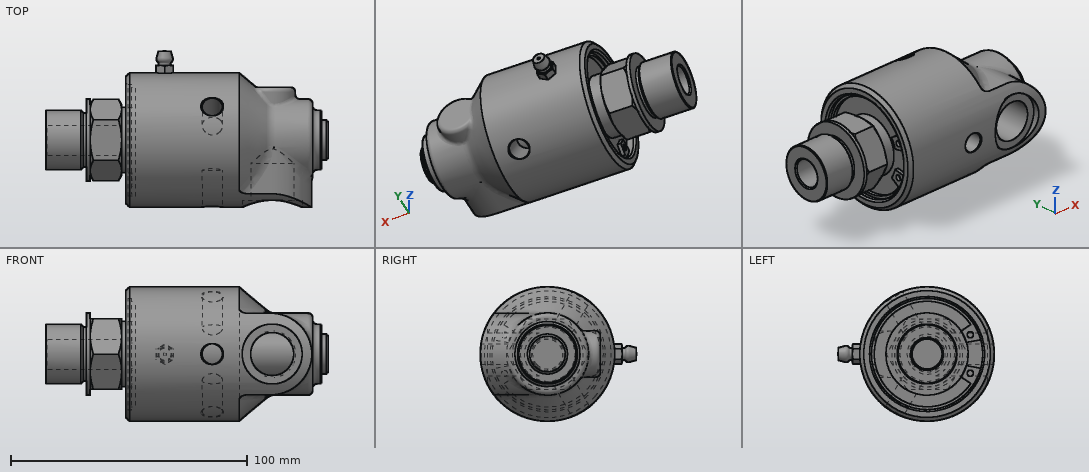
import cadquery as cq
import math

TOTAL_LENGTH = 119.8

SPUD_DIAMETER = 25.4
SPUD_CHAMFER = 0.4
SPUD_END = 15.0
RELIEF_DIAMETER = 23.0
RELIEF_START = 16.0
WASHER_DIAMETER = 34.9
WASHER_START = 17.3
HEX_START = 18.9
HEX_END = 32.2
HEX_ACROSS_FLATS = 30.0
HEX_CHAMFER_LENGTH = 1.3
COLLAR_DIAMETER = 27.8
SPUD_BORE_DIAMETER = 12.7
SPUD_BORE_DEPTH = 32.1
SPUD_BORE_CHAMFER = 0.6

BODY_DIAMETER = 57.0
BODY_START = 33.9
BODY_CHAMFER = 1.7
CONE_START = 82.0
CONE_ANGLE = 40.0
CONE_FILLET = 5.0
NECK_DIAMETER = 34.9
NECK_END = 113.2
NECK_END_FILLET = 2.2

RECESS_DIAMETER = 47.1
RECESS_CHAMFER = 0.8
RING_OFFSET = 2.4
RING_THICKNESS = 1.7
RING_WIDTH = 1.2
LUG_INNER_RADIUS = 17.1
LUG_HOLE_DIAMETER = 2.6
LUG_HOLE_Y = -18.3
LUG_HOLE_Z = 8.1
LUG_END_ANGLE = 34.0
GAP_APEX_Y = 9.6
GAP_ANGLE = 10.6

PORT_X = 96.0
ARM_END_X = 95.5
ARM_RADIUS = 17.3
ARM_FILLET = 5.0
PORT_DIAMETER = 18.2
PORT_SEAT_DIAMETER = 25.4
PORT_SEAT_Y = -25.4
SPINDLE_DIAMETER = 19.7

BOSS_RADIUS = 9.8
BOSS_TOP_Y = 22.4
BOSS_TOP_FILLET = 2.0
BOSS_BASE_FILLET = 1.8

WEEP_X = 70.6
WEEP_COUNT = 3
WEEP_DIAMETER = 8.6
WEEP_CHAMFER = 0.5
SHAFT_DIAMETER = SPUD_DIAMETER

PLUG_DIAMETER = 25.4
PLUG_END = 117.0
PLUG_FLARE_LENGTH = 1.8
PLUG_FLARE_HEIGHT = 1.1
PLUG_CHAMFER = 0.6
CAP_DIAMETER = 17.0
CAP_CHAMFER = 1.0

NIPPLE_X = 50.5
NIPPLE_ROOT_DEPTH = 1.2
NIPPLE_HEX_FLATS = 7.4
NIPPLE_HEX_CHAMFER = 0.4
NIPPLE_HEX_TOP_Y = 31.6
NIPPLE_WAIST_DIAMETER = 5.2
NIPPLE_SHOULDER_DIAMETER = 6.0
NIPPLE_SHOULDER_Y = 33.1
NIPPLE_HEAD_ROUND = 1.7
NIPPLE_HEAD_DIAMETER = 7.0
NIPPLE_HEAD_Y = 34.9
NIPPLE_TIP_DIAMETER = 5.4
NIPPLE_TIP_Y = 37.6
NIPPLE_BALL_DIAMETER = 2.0
NIPPLE_BALL_TOP_Y = 37.9

TOLERANCE = 0.01

body_radius = BODY_DIAMETER / 2
neck_radius = NECK_DIAMETER / 2
recess_radius = RECESS_DIAMETER / 2
ring_start = BODY_START + RING_OFFSET
recess_floor = ring_start + RING_THICKNESS


def x_cylinder(diameter, start, end):
    return cq.Workplane("YZ", origin=(start, 0, 0)).circle(diameter / 2).extrude(end - start)


def y_cylinder(diameter, x, start, end):
    return cq.Workplane("XZ", origin=(x, end, 0)).circle(diameter / 2).extrude(end - start)


def x_cone(start_radius, end_radius, start, end):
    profile = [(start, 0), (start, start_radius), (end, end_radius), (end, 0)]
    return cq.Workplane("XY").polyline(profile).close().revolve(360, (0, 0, 0), (1, 0, 0))


def make_spud():
    """Spud, washer, hex and collar, running in to the floor of the recess."""
    spud = x_cylinder(SPUD_DIAMETER, 0, SPUD_END).faces("<X").chamfer(SPUD_CHAMFER)
    relief_cone = x_cone(SPUD_DIAMETER / 2, RELIEF_DIAMETER / 2, SPUD_END, RELIEF_START)
    relief = x_cylinder(RELIEF_DIAMETER, RELIEF_START, WASHER_START)
    washer = x_cylinder(WASHER_DIAMETER, WASHER_START, HEX_START)
    collar = x_cylinder(COLLAR_DIAMETER, HEX_END, recess_floor)
    hexagon = make_hex(HEX_ACROSS_FLATS, HEX_CHAMFER_LENGTH, HEX_START, HEX_END)
    return spud.union(relief_cone).union(relief).union(washer).union(hexagon).union(collar)


def make_hex(across_flats, chamfer_length, start, end):
    """Hexagon along X with flats facing +Z and -Z and conically chamfered corners."""
    corner_radius = across_flats / math.sqrt(3)
    flat_radius = across_flats / 2
    turned = (
        cq.Workplane("XY")
        .moveTo(start, 0)
        .lineTo(start, flat_radius)
        .lineTo(start + chamfer_length, corner_radius)
        .lineTo(end - chamfer_length, corner_radius)
        .lineTo(end, flat_radius)
        .lineTo(end, 0)
        .close()
        .revolve(360, (0, 0, 0), (1, 0, 0))
    )
    hexagon = cq.Workplane("YZ", origin=(start, 0, 0)).polygon(6, 2 * corner_radius)
    return hexagon.extrude(end - start).intersect(turned)


def make_core():
    """Turned body, cone and neck."""
    slope = math.radians(CONE_ANGLE)
    corner_x = CONE_START + (body_radius - neck_radius) / math.tan(slope)
    tangent = CONE_FILLET * math.tan(slope / 2)
    return (
        cq.Workplane("XY")
        .moveTo(BODY_START, 0)
        .lineTo(BODY_START, body_radius - BODY_CHAMFER)
        .lineTo(BODY_START + BODY_CHAMFER, body_radius)
        .lineTo(CONE_START, body_radius)
        .lineTo(corner_x - tangent * math.cos(slope), neck_radius + tangent * math.sin(slope))
        .radiusArc((corner_x + tangent, neck_radius), -CONE_FILLET)
        .lineTo(NECK_END - NECK_END_FILLET, neck_radius)
        .radiusArc((NECK_END, neck_radius - NECK_END_FILLET), NECK_END_FILLET)
        .lineTo(NECK_END, 0)
        .close()
        .revolve(360, (0, 0, 0), (1, 0, 0))
    )


def make_arm():
    """Round-ended port arm trimmed to the body diameter."""
    outline = (
        cq.Workplane("XZ")
        .moveTo(CONE_START, ARM_RADIUS)
        .lineTo(ARM_END_X, ARM_RADIUS)
        .threePointArc((ARM_END_X + ARM_RADIUS, 0), (ARM_END_X, -ARM_RADIUS))
        .lineTo(CONE_START, -ARM_RADIUS)
        .close()
    )
    return outline.extrude(body_radius).intersect(x_cylinder(BODY_DIAMETER, CONE_START, TOTAL_LENGTH))


def make_boss():
    boss = y_cylinder(2 * BOSS_RADIUS, PORT_X, 0, BOSS_TOP_Y)
    return boss.faces(">Y").edges().fillet(BOSS_TOP_FILLET)


def is_on_arm_wall(point):
    """True on the straight sides and the round end of the port arm, inside the body diameter."""
    across = abs(point.z) if point.x < ARM_END_X else math.hypot(point.x - ARM_END_X, point.z)
    inside_body = math.hypot(point.y, point.z) < body_radius - TOLERANCE
    return point.y < 0 and inside_body and abs(across - ARM_RADIUS) < TOLERANCE


def is_on_boss(point):
    return point.y > 0 and math.hypot(point.x - PORT_X, point.z) < BOSS_RADIUS + TOLERANCE


def blend(solid, is_on_wall, radius):
    """Fillet the curved seams, other than circles, whose midpoints lie on the given wall."""
    seams = [
        edge
        for edge in solid.edges().vals()
        if edge.geomType() not in ("LINE", "CIRCLE") and is_on_wall(edge.positionAt(0.5))
    ]
    return solid.newObject(seams).fillet(radius)


def make_head():
    """Body with the port arm and the boss blended into it."""
    head = blend(make_core().union(make_arm()), is_on_arm_wall, ARM_FILLET)
    return blend(head.union(make_boss()), is_on_boss, BOSS_BASE_FILLET)


def cut_recess(head):
    recess = x_cylinder(RECESS_DIAMETER, BODY_START, recess_floor)
    mouth = x_cone(recess_radius + RECESS_CHAMFER, recess_radius, BODY_START, BODY_START + RECESS_CHAMFER)
    return head.cut(recess).cut(mouth)


def ring_disc(diameter):
    return x_cylinder(diameter, ring_start, recess_floor)


def ring_wedge(apex_y, half_angle):
    """Ring-thick wedge opening from its apex towards -Y, past the recess wall."""
    far_y = -RECESS_DIAMETER
    half_width = (apex_y - far_y) * math.tan(math.radians(half_angle))
    corners = [(apex_y, 0), (far_y, half_width), (far_y, -half_width)]
    outline = cq.Workplane("YZ", origin=(ring_start, 0, 0)).polyline(corners).close()
    return outline.extrude(RING_THICKNESS)


def make_ring():
    """Open retaining ring whose two drilled lugs flank a gap towards -Y."""
    disc = ring_disc(RECESS_DIAMETER)
    band = disc.cut(ring_disc(RECESS_DIAMETER - 2 * RING_WIDTH))
    lugs = disc.cut(ring_disc(2 * LUG_INNER_RADIUS)).intersect(ring_wedge(0, LUG_END_ANGLE))
    ring = band.union(lugs).cut(ring_wedge(GAP_APEX_Y, GAP_ANGLE))
    for side in (-1, 1):
        ring = ring.cut(ring_disc(LUG_HOLE_DIAMETER).translate((0, LUG_HOLE_Y, side * LUG_HOLE_Z)))
    return ring


def cut_port(head):
    """Port with its flat seat, opening onto the spindle that runs along the axis."""
    port = y_cylinder(PORT_DIAMETER, PORT_X, -body_radius, 0)
    spindle = x_cylinder(SPINDLE_DIAMETER, PORT_X - PORT_DIAMETER, NECK_END)
    seat = y_cylinder(PORT_SEAT_DIAMETER, PORT_X, -body_radius, PORT_SEAT_Y)
    return head.cut(port.cut(spindle)).cut(seat)


def cut_weep_holes(head):
    shaft = x_cylinder(SHAFT_DIAMETER, WEEP_X - WEEP_DIAMETER, WEEP_X + WEEP_DIAMETER)
    drill = y_cylinder(WEEP_DIAMETER, WEEP_X, -body_radius, 0)
    rim = cq.Workplane(
        cq.Solid.makeCone(
            WEEP_DIAMETER / 2 + WEEP_CHAMFER,
            WEEP_DIAMETER / 2,
            WEEP_CHAMFER,
            pnt=cq.Vector(WEEP_X, -body_radius, 0),
            dir=cq.Vector(0, 1, 0),
        )
    )
    hole = drill.cut(shaft).union(rim)
    for index in range(WEEP_COUNT):
        head = head.cut(hole.rotate((0, 0, 0), (1, 0, 0), index * 360 / WEEP_COUNT))
    return head


def make_plug():
    """End plug, flared where it leaves the neck, with a smaller cap on it."""
    flare_radius = (PLUG_FLARE_LENGTH**2 + PLUG_FLARE_HEIGHT**2) / (2 * PLUG_FLARE_HEIGHT)
    plug_radius = PLUG_DIAMETER / 2
    cap_radius = CAP_DIAMETER / 2
    return (
        cq.Workplane("XY")
        .moveTo(NECK_END, 0)
        .lineTo(NECK_END, plug_radius + PLUG_FLARE_HEIGHT)
        .radiusArc((NECK_END + PLUG_FLARE_LENGTH, plug_radius), -flare_radius)
        .lineTo(PLUG_END - PLUG_CHAMFER, plug_radius)
        .lineTo(PLUG_END, plug_radius - PLUG_CHAMFER)
        .lineTo(PLUG_END, cap_radius)
        .lineTo(TOTAL_LENGTH - CAP_CHAMFER, cap_radius)
        .lineTo(TOTAL_LENGTH, cap_radius - CAP_CHAMFER)
        .lineTo(TOTAL_LENGTH, 0)
        .close()
        .revolve(360, (0, 0, 0), (1, 0, 0))
    )


def make_nipple():
    """Grease nipple: hexagon rooted in the body, waisted neck, tapered head and check ball."""
    root_y = body_radius - NIPPLE_ROOT_DEPTH
    hexagon = (
        make_hex(NIPPLE_HEX_FLATS, NIPPLE_HEX_CHAMFER, root_y, NIPPLE_HEX_TOP_Y)
        .rotate((0, 0, 0), (1, 0, 0), 90)
        .rotate((0, 0, 0), (0, 0, 1), 90)
    )
    shoulder_radius = NIPPLE_SHOULDER_DIAMETER / 2
    waist_y = (NIPPLE_HEX_TOP_Y + NIPPLE_SHOULDER_Y) / 2
    head = (
        cq.Workplane("XY")
        .moveTo(0, NIPPLE_HEX_TOP_Y)
        .lineTo(shoulder_radius, NIPPLE_HEX_TOP_Y)
        .threePointArc((NIPPLE_WAIST_DIAMETER / 2, waist_y), (shoulder_radius, NIPPLE_SHOULDER_Y))
        .radiusArc((NIPPLE_HEAD_DIAMETER / 2, NIPPLE_HEAD_Y), -NIPPLE_HEAD_ROUND)
        .lineTo(NIPPLE_TIP_DIAMETER / 2, NIPPLE_TIP_Y)
        .lineTo(0, NIPPLE_TIP_Y)
        .close()
        .revolve(360, (0, 0, 0), (0, 1, 0))
    )
    ball_radius = NIPPLE_BALL_DIAMETER / 2
    ball = cq.Workplane("XY", origin=(0, NIPPLE_BALL_TOP_Y - ball_radius, 0)).sphere(ball_radius)
    return hexagon.union(head).union(ball).translate((NIPPLE_X, 0, 0))


def cut_spud_bore(part):
    bore_radius = SPUD_BORE_DIAMETER / 2
    bore = x_cylinder(SPUD_BORE_DIAMETER, 0, SPUD_BORE_DEPTH)
    mouth = x_cone(bore_radius + SPUD_BORE_CHAMFER, bore_radius, 0, SPUD_BORE_CHAMFER)
    return part.cut(bore).cut(mouth)


head = cut_weep_holes(cut_port(cut_recess(make_head())))
assembly = head.union(make_ring()).union(make_spud()).union(make_plug()).union(make_nipple())
result = cut_spud_bore(assembly)